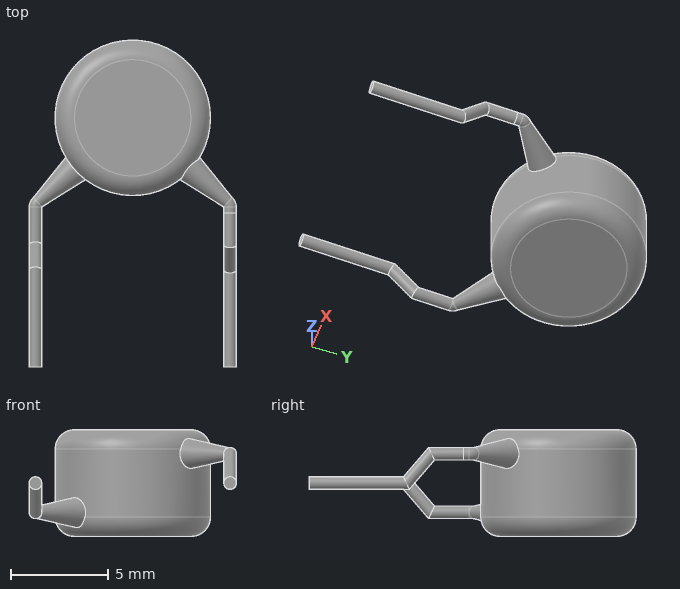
import cadquery as cq
import math

housing_diameter = 8.0
housing_height = 5.5
housing_edge_radius = 1.0

overall_length = 16.8
lead_spacing = 10.0
wire_diameter = 0.65
lead_offset_z = 1.504
elbow_end_y = -4.59
step_start_y = -6.52
step_end_y = -7.81

elbow_radius = 0.34
cone_base_radius = 0.75
short_coating_length = 0.3

housing_radius = housing_diameter / 2
wire_radius = wire_diameter / 2
lead_x = lead_spacing / 2
wire_tip_y = housing_radius - overall_length
step_angle = math.degrees(math.atan2(lead_offset_z, step_start_y - step_end_y))

pivot_x = lead_x - elbow_radius
pivot_distance = math.hypot(pivot_x, elbow_end_y)
pivot_angle = math.degrees(math.atan2(-elbow_end_y, pivot_x))
cone_angle = pivot_angle - math.degrees(math.asin(elbow_radius / pivot_distance))
cone_tip_distance = math.sqrt(pivot_distance**2 - elbow_radius**2)


def make_housing():
    return (
        cq.Workplane("XY")
        .cylinder(housing_height, housing_radius)
        .edges("%CIRCLE")
        .fillet(housing_edge_radius)
    )


def make_full_wire():
    """Upper +X wire from the elbow to its tip."""
    path = cq.Workplane("YZ", origin=(lead_x, 0, 0)).polyline(
        [
            (elbow_end_y, lead_offset_z),
            (step_start_y, lead_offset_z),
            (step_end_y, 0),
            (wire_tip_y, 0),
        ]
    )
    return (
        cq.Workplane("XZ", origin=(lead_x, elbow_end_y, lead_offset_z))
        .circle(wire_radius)
        .sweep(path, transition="right")
    )


def make_elbow():
    """Bend between the straight wire and the cone, revolved about the pivot."""
    return (
        cq.Workplane("XZ", origin=(pivot_x, elbow_end_y, lead_offset_z))
        .center(elbow_radius, 0)
        .circle(wire_radius)
        .revolve(90 - cone_angle, (-elbow_radius, 0), (-elbow_radius, 1))
    )


def make_cone(housing):
    """Cone pointing away from the housing axis, trimmed to the housing surface."""
    taper = (cone_base_radius - wire_radius) / (cone_tip_distance - housing_radius)
    inner_distance = housing_radius - housing_edge_radius
    inner_radius = wire_radius + taper * (cone_tip_distance - inner_distance)
    profile = [
        (inner_distance, 0),
        (inner_distance, inner_radius),
        (cone_tip_distance, wire_radius),
        (cone_tip_distance, 0),
    ]
    cone = cq.Workplane("XY").polyline(profile).close().revolve(360, (0, 0), (1, 0))
    return (
        cone.rotate((0, 0, 0), (0, 0, 1), -cone_angle)
        .translate((0, 0, lead_offset_z))
        .cut(housing)
    )


def make_lead(housing, coating_end_y, end_tilt):
    """Coating and bare wire of the upper +X lead, parted at a plane tilted about X."""
    tilt = math.radians(end_tilt)
    parting_plane = cq.Plane(
        origin=(lead_x, coating_end_y, lead_offset_z),
        xDir=(1, 0, 0),
        normal=(0, math.cos(tilt), math.sin(tilt)),
    )
    coated_region = cq.Workplane(parting_plane).rect(lead_x, lead_x).extrude(lead_x)
    full_wire = make_full_wire()
    coated_length = full_wire.intersect(coated_region)
    coating = make_cone(housing).union(make_elbow()).union(coated_length)
    wire = full_wire.cut(coated_region)
    return [coating, wire]


housing = make_housing()

right_lead = make_lead(housing, elbow_end_y - short_coating_length, 0)
left_lead = [
    body.rotate((0, 0, 0), (0, 1, 0), 180)
    for body in make_lead(housing, step_start_y, step_angle / 2)
]

leads = [body.val() for body in right_lead + left_lead]
result = cq.Compound.makeCompound([housing.val(), *leads])